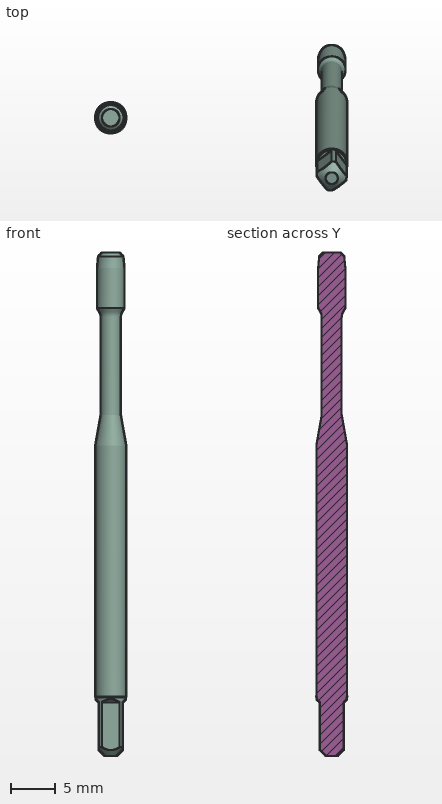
import math

import cadquery as cq


total_length = 56.2
shank_diameter = 3.5
neck_diameter = 2.29
head_diameter = 3.1

drive_corner_diameter = 3.36
drive_flat_count = 4
drive_across_flats = 2.7
drive_length = 6.0
drive_runout_angle = 45.0
drive_tip_diameter = 1.36
drive_tip_angle = 45.0

shank_start_z = 6.65
shank_chamfer_angle = 30.0

neck_start_z = 38.05
neck_cone_angle = 10.0

head_taper_length = 1.75
head_cylinder_end = 6.2
head_tip_diameter = 1.95
head_tip_height = 0.45
head_tip_angle = 45.0
head_back_angle = 30.0
neck_fillet_radius = 1.0


def cone_height(large_diameter, small_diameter, angle):
    """Height of a cone whose side leans from the axis by the given angle."""
    return (large_diameter - small_diameter) / 2 / math.tan(math.radians(angle))


def neck_fillet_offset(angle):
    """Radial and axial offset from the fillet's end on the neck to its point of the given lean."""
    lean = math.radians(angle)
    return neck_fillet_radius * (1 - math.cos(lean)), neck_fillet_radius * math.sin(lean)


def make_turned_body():
    """Revolved body: shank, cone, neck and head."""
    shank_radius = shank_diameter / 2
    neck_radius = neck_diameter / 2
    head_radius = head_diameter / 2
    corner_radius = drive_corner_diameter / 2
    drive_tip_radius = drive_tip_diameter / 2
    drive_tip_height = cone_height(drive_corner_diameter, drive_tip_diameter, drive_tip_angle)
    shank_chamfer_z = shank_start_z - cone_height(
        shank_diameter, drive_corner_diameter, shank_chamfer_angle
    )
    shank_end_z = neck_start_z - cone_height(shank_diameter, neck_diameter, neck_cone_angle)

    fillet_rise, fillet_height = neck_fillet_offset(head_back_angle)
    mid_rise, mid_height = neck_fillet_offset(head_back_angle / 2)
    fillet_top_radius = neck_radius + fillet_rise
    head_back_z = total_length - head_cylinder_end
    fillet_top_z = head_back_z - cone_height(head_diameter, 2 * fillet_top_radius, head_back_angle)
    neck_end_z = fillet_top_z - fillet_height

    head_tip_radius = head_tip_diameter / 2
    lead_radius = head_tip_radius + head_tip_height * math.tan(math.radians(head_tip_angle))

    profile = (
        cq.Workplane("XZ")
        .lineTo(drive_tip_radius, 0)
        .lineTo(corner_radius, drive_tip_height)
        .lineTo(corner_radius, shank_chamfer_z)
        .lineTo(shank_radius, shank_start_z)
        .lineTo(shank_radius, shank_end_z)
        .lineTo(neck_radius, neck_start_z)
        .lineTo(neck_radius, neck_end_z)
        .threePointArc(
            (neck_radius + mid_rise, neck_end_z + mid_height),
            (fillet_top_radius, fillet_top_z),
        )
        .lineTo(head_radius, head_back_z)
        .lineTo(head_radius, total_length - head_taper_length)
        .lineTo(lead_radius, total_length - head_tip_height)
        .lineTo(head_tip_radius, total_length)
        .lineTo(0, total_length)
        .close()
    )
    return profile.revolve(360, (0, 0, 0), (0, 1, 0))


def make_drive_flat_cutter():
    """Material outside the flat on the +X side, ending above in a sloped runout."""
    flat_x = drive_across_flats / 2
    outer_x = shank_diameter
    runout_height = (outer_x - flat_x) / math.tan(math.radians(drive_runout_angle))
    return (
        cq.Workplane("XZ")
        .moveTo(flat_x, 0)
        .lineTo(flat_x, drive_length)
        .lineTo(outer_x, drive_length + runout_height)
        .lineTo(outer_x, 0)
        .close()
        .extrude(shank_diameter, both=True)
    )


result = make_turned_body()
for side in range(drive_flat_count):
    side_angle = 360 / drive_flat_count * side
    result = result.cut(make_drive_flat_cutter().rotate((0, 0, 0), (0, 0, 1), side_angle))